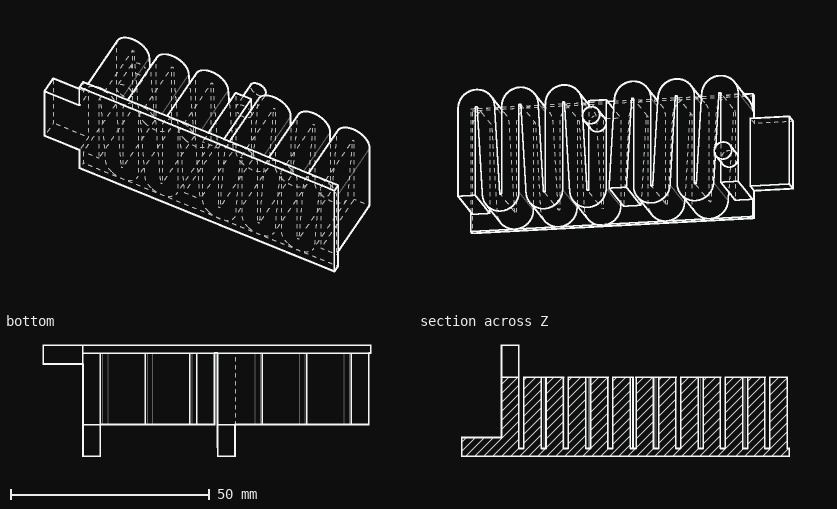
import cadquery as cq
import math

total_length = 82.5
total_height = 32.5

tab_length = 10.0
tab_height = 17.65
tab_thickness = 4.8

plate_length = total_length - tab_length
plate_height = 32.0
plate_thickness = 2.0

strip_width = 4.45
fold_gap = 0.5
strip_depth = 18.0
strip_back = plate_thickness + strip_depth
fold_pitch = 11.2
first_strip_folds = 5
second_strip_folds = 6
second_strip_x = 33.9

pin_length = 8.0
pin_offset = 5.5

fold_radius = (strip_width + fold_gap) / 2
outer_radius = fold_radius + strip_width / 2
inner_radius = fold_gap / 2
first_fold_z = total_height / 2 - outer_radius
other_fold_z = plate_height / 2 - outer_radius


def fold_centres(folds):
    """Centres of the folds, alternating top and bottom; the first leg has its left edge on X = 0."""
    centres = []
    for index in range(folds):
        upright_x = strip_width / 2 + fold_pitch * ((index + 1) // 2)
        if index % 2 == 0:
            centres.append((upright_x + fold_radius, first_fold_z if index == 0 else other_fold_z))
        else:
            centres.append((upright_x - fold_radius, -other_fold_z))
    return centres


def lean_angle(top_centre, bottom_centre):
    """Lean from vertical of the leg tangent to a top fold and the bottom fold after it."""
    run = bottom_centre[0] - top_centre[0]
    drop = top_centre[1] - bottom_centre[1]
    return math.acos(2 * fold_radius / math.hypot(run, drop)) - math.atan2(drop, run)


def point_on_fold(centre, radius, angle):
    return (centre[0] + radius * math.cos(angle), centre[1] + radius * math.sin(angle))


def fold_arc(centre, radius, start, end):
    """Start, middle and end points of an arc."""
    return [point_on_fold(centre, radius, angle) for angle in (start, (start + end) / 2, end)]


def strip_edges(folds):
    """Arcs along the left and right edges of the strip, and the lean of its last fold."""
    centres = fold_centres(folds)
    left_arcs = []
    right_arcs = []
    lean = 0.0
    for index, centre in enumerate(centres):
        if index % 2 == 0:
            if index + 1 < folds:
                lean = lean_angle(centre, centres[index + 1])
            left_arcs.append(fold_arc(centre, outer_radius, math.pi, lean))
            right_arcs.append(fold_arc(centre, inner_radius, math.pi, lean))
        else:
            left_arcs.append(fold_arc(centre, inner_radius, math.pi + lean, 2 * math.pi))
            right_arcs.append(fold_arc(centre, outer_radius, math.pi + lean, 2 * math.pi))
    return left_arcs, right_arcs, lean


def leg_end(point, folds, lean):
    """Where an edge of the last leg, leaving the last fold at this point, is cut off level."""
    if folds % 2 == 0:
        return (point[0], first_fold_z)
    return (point[0] + (point[1] + first_fold_z) * math.tan(lean), -first_fold_z)


def folded_strip(folds):
    """Serpentine strip: upright first leg with a fold on top, then leaning and upright legs in turn."""
    left_arcs, right_arcs, lean = strip_edges(folds)
    outline = cq.Workplane("XZ", origin=(0, plate_thickness, 0)).moveTo(0, -first_fold_z)
    for start, middle, end in left_arcs:
        outline = outline.lineTo(*start).threePointArc(middle, end)
    outline = outline.lineTo(*leg_end(left_arcs[-1][2], folds, lean))
    outline = outline.lineTo(*leg_end(right_arcs[-1][2], folds, lean))
    for start, middle, end in reversed(right_arcs):
        outline = outline.lineTo(*end).threePointArc(middle, start)
    return outline.lineTo(strip_width, -first_fold_z).close().extrude(-strip_depth)


def strip_with_pin(folds):
    """Folded strip with a round pin on the back of its first leg."""
    pin = (
        cq.Workplane("XZ", origin=(0, strip_back, 0))
        .center(strip_width / 2, -pin_offset)
        .circle(strip_width / 2)
        .extrude(-pin_length)
    )
    return folded_strip(folds).union(pin)


plate = cq.Workplane("XY").box(plate_length, plate_thickness, plate_height, centered=(False, False, True))

tab = (
    cq.Workplane("XY", origin=(-tab_length, 0, 0))
    .box(tab_length, tab_thickness, tab_height, centered=(False, False, True))
)

first_strip = strip_with_pin(first_strip_folds)
second_strip = strip_with_pin(second_strip_folds).mirror("XY").translate((second_strip_x, 0, 0))

result = plate.union(tab).union(first_strip).union(second_strip)